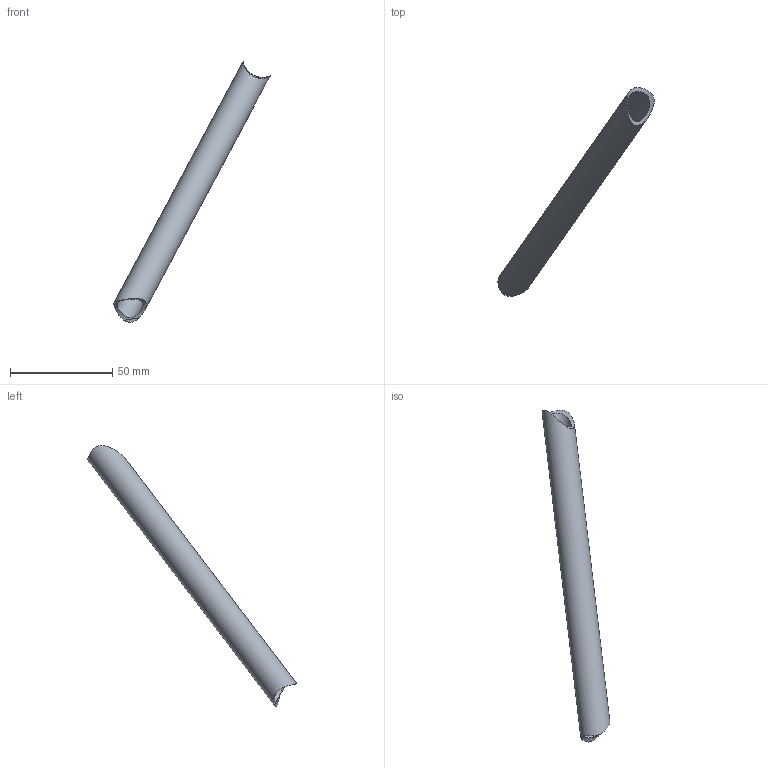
import cadquery as cq
TUBE_DIAMETER = 15.0
WALL = 1.5
TUBE_SPAN = 175.14
TUBE_DIRECTION = cq.Vector(0.5348, 0.7612, 1.0).normalized()

SADDLE_RADIUS = 9.5
SADDLE_CUT_LENGTH = 120.0
UPPER_SADDLE_DIRECTION = cq.Vector(0.0, 1.0, 0.0333).normalized()
LOWER_SADDLE_DIRECTION = cq.Vector(1.0, -0.2724, 0.1698).normalized()

UPPER_SADDLE_OFFSET = -0.1
LOWER_SADDLE_OFFSET = 0.4


def centred_cylinder(centre, direction, radius, length):
    """Solid cylinder whose middle lies at the given centre."""
    start = centre - direction * (length / 2)
    return cq.Solid.makeCylinder(radius, length, start, direction)


def tube_blank():
    """Straight tube with square ends, centred on the origin."""
    origin = cq.Vector(0, 0, 0)
    outer_radius = TUBE_DIAMETER / 2
    inner_radius = outer_radius - WALL
    outer = centred_cylinder(origin, TUBE_DIRECTION, outer_radius, TUBE_SPAN)
    bore = centred_cylinder(origin, TUBE_DIRECTION, inner_radius, TUBE_SPAN)
    return cq.Workplane(outer).cut(cq.Workplane(bore))


def saddle_cutter(end_point, direction, offset):
    """Neighbouring tube's envelope, shifted square to both the tube and its own axis."""
    sideways = direction.cross(TUBE_DIRECTION).normalized()
    centre = end_point + sideways * offset
    return cq.Workplane(centred_cylinder(centre, direction, SADDLE_RADIUS, SADDLE_CUT_LENGTH))


upper_end = TUBE_DIRECTION * (TUBE_SPAN / 2)
lower_end = TUBE_DIRECTION * (-TUBE_SPAN / 2)

result = (
    tube_blank()
    .cut(saddle_cutter(upper_end, UPPER_SADDLE_DIRECTION, UPPER_SADDLE_OFFSET))
    .cut(saddle_cutter(lower_end, LOWER_SADDLE_DIRECTION, LOWER_SADDLE_OFFSET))
)